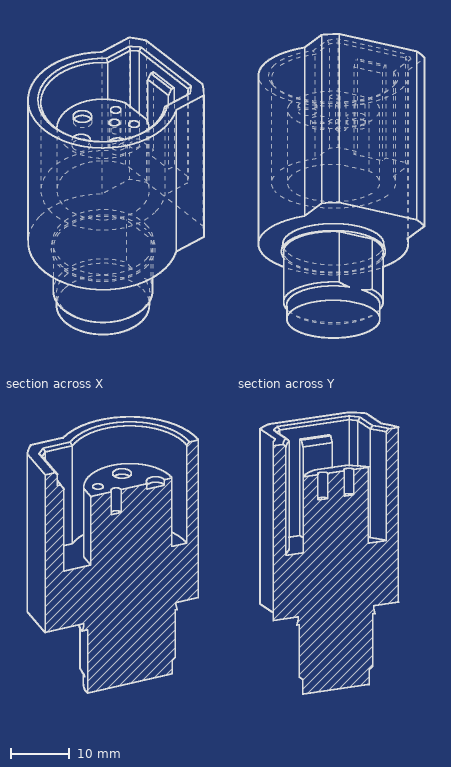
import cadquery as cq
import math

total_height = 45.5
body_bottom = 14.0

body_width = 25.6
body_length = 28.6
body_radius = body_width / 2
tab_half_width = 10.0
tab_back = body_length - body_radius
tab_top_half_width = 7.55
tab_shoulder = 14.1
tab_corner_radius = 17.4

cavity_radius = 10.6
cavity_half_width = 7.65
cavity_back = 13.45
cavity_corner = 1.1
cavity_depth = 20.0
rim_chamfer = 0.5

insert_radius = 7.85
insert_flat = 7.33
insert_top_depth = 6.35

power_hole_diameter = 3.2
power_hole_depth = 1.1
power_hole_side = 4.75
power_hole_centers = [(-power_hole_side, -0.65), (power_hole_side, -0.65), (0, -4.82)]
signal_hole_diameter = 1.77
signal_hole_depth = 4.55
signal_hole_side = 2.45
signal_hole_centers = [(-signal_hole_side, 4.85), (signal_hole_side, 4.85), (0, 2.55)]

rib_width = 5.5
rib_front = 12.25
rib_ledge_front = 12.88
rib_top_depth = 2.7
rib_slope_height = 1.05

neck_radius = 8.65
neck_bottom = 13.7
collar_radius = 8.85
collar_lip_top = 12.7
collar_bottom = 12.6
stem_radius = 8.5
stem_bottom = 3.2
tip_radius = 7.95
tip_top = 2.7
stem_flat = 7.85

cavity_floor = total_height - cavity_depth
insert_top = total_height - insert_top_depth
rib_top = total_height - rib_top_depth


def make_housing():
    """Keyhole outline: round front joined to a tab with rounded corners."""
    join_y = math.sqrt(body_radius**2 - tab_half_width**2)
    return (
        cq.Workplane("XY", origin=(0, 0, body_bottom))
        .moveTo(-tab_half_width, join_y)
        .threePointArc((0, -body_radius), (tab_half_width, join_y))
        .lineTo(tab_half_width, tab_shoulder)
        .radiusArc((tab_top_half_width, tab_back), -tab_corner_radius)
        .lineTo(-tab_top_half_width, tab_back)
        .radiusArc((-tab_half_width, tab_shoulder), -tab_corner_radius)
        .close()
        .extrude(total_height - body_bottom)
    )


def cavity_outline(grow, z):
    """Closed cavity outline at height z, offset outward by grow."""
    radius = cavity_radius + grow
    half_width = cavity_half_width + grow
    back = cavity_back + grow
    corner = cavity_corner + grow * (2 - math.sqrt(2))
    join_y = math.sqrt(radius**2 - half_width**2)
    return (
        cq.Workplane("XY", origin=(0, 0, z))
        .moveTo(-half_width, join_y)
        .threePointArc((0, -radius), (half_width, join_y))
        .lineTo(half_width, back - corner)
        .lineTo(half_width - corner, back)
        .lineTo(corner - half_width, back)
        .lineTo(-half_width, back - corner)
        .close()
    )


def make_cavity():
    """Straight cavity with a 45 degree lead-in at the rim."""
    pocket = cavity_outline(0, cavity_floor).extrude(cavity_depth)
    lower_wire = cavity_outline(0, total_height - rim_chamfer).val()
    upper_wire = cavity_outline(rim_chamfer, total_height).val()
    lead_in = cq.Solid.makeLoft([lower_wire, upper_wire], True)
    return pocket.union(cq.Workplane(obj=lead_in))


def make_insert():
    """Round contact insert with a flat facing the tab."""
    half_chord = math.sqrt(insert_radius**2 - insert_flat**2)
    insert = (
        cq.Workplane("XY", origin=(0, 0, cavity_floor))
        .moveTo(-half_chord, insert_flat)
        .threePointArc((0, -insert_radius), (half_chord, insert_flat))
        .close()
        .extrude(insert_top - cavity_floor)
    )
    insert = drill(insert, power_hole_centers, power_hole_diameter, power_hole_depth)
    return drill(insert, signal_hole_centers, signal_hole_diameter, signal_hole_depth)


def drill(solid, centers, diameter, depth):
    """Cut flat-bottomed holes down from the insert's top face."""
    holes = (
        cq.Workplane("XY", origin=(0, 0, insert_top))
        .pushPoints(centers)
        .circle(diameter / 2)
        .extrude(-depth)
    )
    return solid.cut(holes)


def make_rib():
    """Key rib from the cavity floor, with a sloped front edge at its top."""
    return (
        cq.Workplane("YZ")
        .moveTo(cavity_back, cavity_floor)
        .lineTo(cavity_back, rib_top)
        .lineTo(rib_ledge_front, rib_top)
        .lineTo(rib_front, rib_top - rib_slope_height)
        .lineTo(rib_front, cavity_floor)
        .close()
        .extrude(rib_width / 2, both=True)
    )


def make_collar():
    """Neck and flared collar directly under the housing."""
    return (
        cq.Workplane("XZ")
        .moveTo(0, collar_bottom)
        .lineTo(collar_radius, collar_bottom)
        .lineTo(collar_radius, collar_lip_top)
        .lineTo(neck_radius, neck_bottom)
        .lineTo(neck_radius, body_bottom)
        .lineTo(0, body_bottom)
        .close()
        .revolve(360, (0, 0), (0, 1))
    )


def make_stem():
    """Stepped round stem, flattened on the +Y side."""
    stem = (
        cq.Workplane("XZ")
        .lineTo(tip_radius, 0)
        .lineTo(tip_radius, tip_top)
        .lineTo(stem_radius, stem_bottom)
        .lineTo(stem_radius, collar_bottom)
        .lineTo(0, collar_bottom)
        .close()
        .revolve(360, (0, 0), (0, 1))
    )
    keep = (
        cq.Workplane("XY")
        .rect(2 * stem_radius, 2 * stem_radius)
        .extrude(collar_bottom)
        .translate((0, stem_flat - stem_radius, 0))
    )
    return stem.intersect(keep)


result = (
    make_housing()
    .cut(make_cavity())
    .union(make_insert())
    .union(make_rib())
    .union(make_collar())
    .union(make_stem())
)